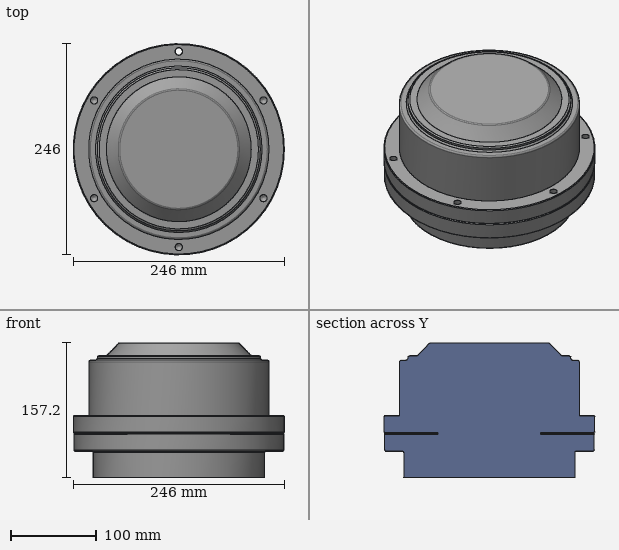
import cadquery as cq
import math

SPIGOT_HEIGHT = 30.5
FLANGE_THICKNESS = 20.2
FLANGE_GAP = 1.5
BODY_HEIGHT = 64.5
COLLAR_HEIGHT = 5.5
DOME_HEIGHT = 14.8

UPPER_FLANGE_RADIUS = 123.0
LOWER_FLANGE_RADIUS = 122.5
SPIGOT_RADIUS = 99.9
GAP_RADIUS = 60.0
BODY_RADIUS = 105.0
COLLAR_RADIUS = 95.0
DOME_BASE_RADIUS = 84.5
DOME_TOP_RADIUS = 69.9

UPPER_FLANGE_CHAMFER = 1.0
LOWER_FLANGE_CHAMFER = 1.5
BODY_FILLET = 2.0
COLLAR_CHAMFER_HEIGHT = 1.0
COLLAR_CHAMFER_WIDTH = 2.2
DOME_FILLET = 2.5

COLLAR_FLARE = 2.0
SPIGOT_FLARE = 1.0

HOLE_COUNT = 6
HOLE_CIRCLE_RADIUS = 114.0
HOLE_RADIUS = 4.2
BLIND_DEPTH = 14.8
DRILL_POINT_ANGLE = 118.0
THROUGH_HOLE_ANGLE = 90.0

lower_flange_top = SPIGOT_HEIGHT + FLANGE_THICKNESS
upper_flange_bottom = lower_flange_top + FLANGE_GAP
upper_flange_top = upper_flange_bottom + FLANGE_THICKNESS
body_top = upper_flange_top + BODY_HEIGHT
collar_top = body_top + COLLAR_HEIGHT


def cylinder(radius, bottom, height):
    return cq.Workplane("XY").workplane(offset=bottom).circle(radius).extrude(height)


def cone(bottom_radius, top_radius, bottom, height):
    solid = cq.Solid.makeCone(bottom_radius, top_radius, height, cq.Vector(0, 0, bottom))
    return cq.Workplane("XY").add(solid)


def spigot():
    flare_bottom = SPIGOT_HEIGHT - SPIGOT_FLARE
    flare = cone(SPIGOT_RADIUS, SPIGOT_RADIUS + SPIGOT_FLARE, flare_bottom, SPIGOT_FLARE)
    return cylinder(SPIGOT_RADIUS, 0, SPIGOT_HEIGHT).union(flare)


def lower_flange():
    disc = cylinder(LOWER_FLANGE_RADIUS, SPIGOT_HEIGHT, FLANGE_THICKNESS)
    return disc.faces("<Z").edges().chamfer(LOWER_FLANGE_CHAMFER)


def upper_flange():
    disc = cylinder(UPPER_FLANGE_RADIUS, upper_flange_bottom, FLANGE_THICKNESS)
    return disc.edges("%CIRCLE").chamfer(UPPER_FLANGE_CHAMFER)


def body():
    drum = cylinder(BODY_RADIUS, upper_flange_top, BODY_HEIGHT)
    return drum.faces(">Z").edges().fillet(BODY_FILLET)


def collar():
    ring = cylinder(COLLAR_RADIUS, body_top, COLLAR_HEIGHT)
    ring = ring.faces(">Z").chamfer(COLLAR_CHAMFER_HEIGHT, COLLAR_CHAMFER_WIDTH)
    return ring.union(cone(COLLAR_RADIUS + COLLAR_FLARE, COLLAR_RADIUS, body_top, COLLAR_FLARE))


def dome():
    frustum = cone(DOME_BASE_RADIUS, DOME_TOP_RADIUS, collar_top, DOME_HEIGHT)
    return frustum.faces(">Z").edges().fillet(DOME_FILLET)


def through_hole():
    return cylinder(HOLE_RADIUS, 0, upper_flange_top)


def blind_hole():
    """A drilled hole in the upper flange with a conical end."""
    point_height = HOLE_RADIUS / math.tan(math.radians(DRILL_POINT_ANGLE / 2))
    bore_bottom = upper_flange_top - BLIND_DEPTH
    bore = cylinder(HOLE_RADIUS, bore_bottom, BLIND_DEPTH)
    return bore.union(cone(0, HOLE_RADIUS, bore_bottom - point_height, point_height))


def place_on_bolt_circle(hole, angle):
    x = HOLE_CIRCLE_RADIUS * math.cos(math.radians(angle))
    y = HOLE_CIRCLE_RADIUS * math.sin(math.radians(angle))
    return hole.translate((x, y, 0))


result = (
    spigot()
    .union(lower_flange())
    .union(cylinder(GAP_RADIUS, lower_flange_top, FLANGE_GAP))
    .union(upper_flange())
    .union(body())
    .union(collar())
    .union(dome())
)

result = result.cut(place_on_bolt_circle(through_hole(), THROUGH_HOLE_ANGLE))
for index in range(1, HOLE_COUNT):
    hole_angle = THROUGH_HOLE_ANGLE + index * 360 / HOLE_COUNT
    result = result.cut(place_on_bolt_circle(blind_hole(), hole_angle))